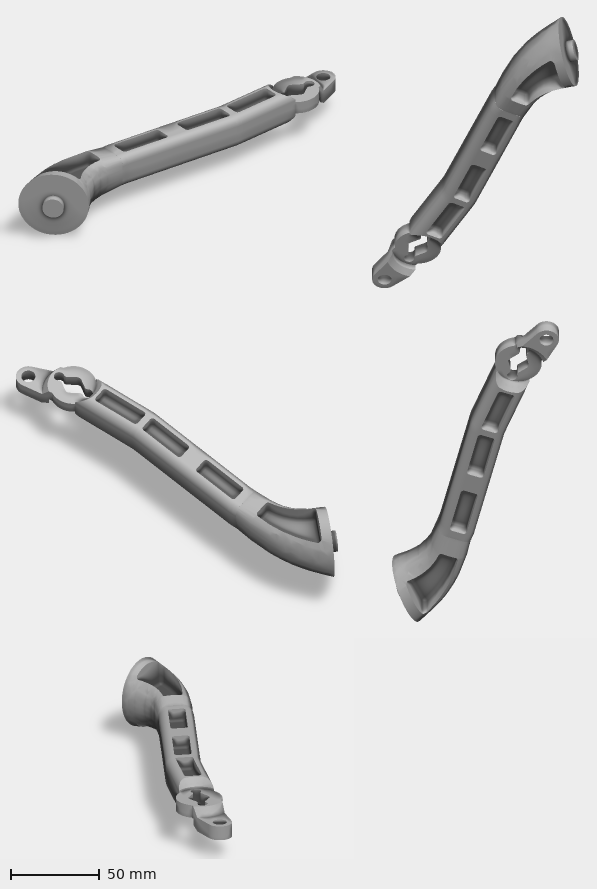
import cadquery as cq
import math


PART_LENGTH = 227.2
REACH = 68.2

ARM_SIZE = 20.0
ARM_CORNER = 5.0
ARM_START_Y = -8.5
ARM_TILT = 7.4
BEND_Y = -49.5
SECOND_BEND_Y = -125.2
BEND_RADIUS = 30.5
BEND_ZONE = 1.8
ARM_END_Y = -128.5

RING_RADIUS = 13.2
RING_THICKNESS = 7.5
BORE_HALF_WIDTH = 6.5
BORE_HALF_LENGTH = 10.0
BORE_FILLET = 2.7
SLOT_END_RADIUS = 3.0
SLOT_END_OFFSET = 10.0
SLOT_NECK_WIDTH = 4.3

SCOOP_RADIUS = RING_RADIUS
SCOOP_RIM_RADIUS = 16.5
SCOOP_STEP_Z = 5.2

TAB_CENTER = (-7.0, 26.4)
TAB_RADIUS = 7.0
TAB_HOLE_DIAMETER = 8.0
TAB_LEFT_FOOT = (-11.5, 6.5)
TAB_RIGHT_FOOT = (5.7, 13.6)
TAB_RING_CONTACT = (6.4, 11.4)
TAB_BOTTOM_Z = -ARM_SIZE / 2
TAB_TOP_Z = -1.7
STEP_INNER_RADIUS = 14.5
STEP_OUTER_RADIUS = 17.7
STEP_CONE_Z = -7.3

FACE_RADIUS = 20.0
FACE_REACH = FACE_RADIUS * math.sqrt(0.5)
FACE_CENTER = (0, TAB_CENTER[1] + TAB_RADIUS - PART_LENGTH + FACE_REACH)
FLARE_POINTS = 32
FLARE_SECTIONS = (
    ((-22.0, -142.0), (0.2, -140.9), 24.5, 3.0),
    ((-22.7, -158.0), (1.4, -147.2), 27.7, 2.6),
    ((-21.1, -172.7), (4.5, -154.3), 32.3, 2.2),
    ((-17.7, -185.0), (9.5, -160.5), 36.8, 2.0),
)
ARM_SQUARENESS = 4.4
ROUND = 2.0
PIN_DIAMETER = 12.0
PIN_LENGTH = 4.0

WEB_THICKNESS = 5.0
POCKET_WIDTH = ARM_SIZE - 2 * ARM_CORNER
POCKET_FILLET = 1.8
POCKET_SPANS = ((-18.2, -47.7), (-51.8, -81.3), (-93.5, -123.4))
FLARE_POCKET_TOP_LEFT = (-16.1, -140.0)
FLARE_POCKET_TOP_RIGHT = (-5.0, -140.0)
FLARE_POCKET_RIGHT_MID = (-2.5, -152.7)
FLARE_POCKET_LOWER_RIGHT = (6.4, -165.2)
FLARE_POCKET_LOWER_LEFT = (-11.8, -183.4)
FLARE_POCKET_LEFT_MID = (-17.3, -161.3)

half_arm = ARM_SIZE / 2
half_ring = RING_THICKNESS / 2
half_web = WEB_THICKNESS / 2
tilt_slope = math.tan(math.radians(ARM_TILT))


def axis_x(y):
    """X of the arm axis above the second bend, ignoring the rounding of the bends."""
    return min(0, y - BEND_Y) * tilt_slope


lower_axis_x = axis_x(SECOND_BEND_Y)


def make_arm():
    mitre_shift = half_arm * math.tan(math.radians(ARM_TILT / 2))

    def side(sign):
        return [
            (sign * half_arm, ARM_START_Y),
            (sign * half_arm, BEND_Y - sign * mitre_shift),
            (lower_axis_x + sign * half_arm, SECOND_BEND_Y - sign * mitre_shift),
            (lower_axis_x + sign * half_arm, ARM_END_Y),
        ]

    bar = (
        cq.Workplane("XY")
        .workplane(offset=-half_arm)
        .polyline(side(1) + side(-1)[::-1])
        .close()
        .extrude(ARM_SIZE)
    )
    for y in (BEND_Y, SECOND_BEND_Y):
        bend_zone = cq.selectors.BoxSelector(
            (-REACH, y - BEND_ZONE, -REACH), (REACH, y + BEND_ZONE, REACH)
        )
        bar = bar.edges("|Z").edges(bend_zone).fillet(BEND_RADIUS)
    return bar.faces("|Z").edges("not(<Y or >Y)").fillet(ARM_CORNER)


def revolve_profile(points):
    """Revolve (radius, z) points about the Z axis."""
    return cq.Workplane("XZ").polyline(points).close().revolve(360, (0, 0), (0, 1))


def scoop_top(radius, cone_z, rim_radius, rim_z):
    """Clearance above the ring: a cylinder up to cone_z, then a widening cone."""
    profile = [(0, half_ring), (radius, half_ring), (radius, cone_z), (rim_radius, rim_z), (0, rim_z)]
    return revolve_profile(profile)


def tangent_point(foot, sign):
    """Point where the line from foot touches the tab's round end."""
    dx = foot[0] - TAB_CENTER[0]
    dy = foot[1] - TAB_CENTER[1]
    angle = math.atan2(dy, dx) + sign * math.acos(TAB_RADIUS / math.hypot(dx, dy))
    return (
        TAB_CENTER[0] + TAB_RADIUS * math.cos(angle),
        TAB_CENTER[1] + TAB_RADIUS * math.sin(angle),
    )


def make_tab():
    """Tab joined to the ring by a conical step on its top and bottom."""
    tab = (
        cq.Workplane("XY")
        .workplane(offset=TAB_BOTTOM_Z)
        .moveTo(0, 0)
        .lineTo(*TAB_LEFT_FOOT)
        .lineTo(*tangent_point(TAB_LEFT_FOOT, -1))
        .threePointArc((TAB_CENTER[0], TAB_CENTER[1] + TAB_RADIUS), tangent_point(TAB_RIGHT_FOOT, 1))
        .lineTo(*TAB_RIGHT_FOOT)
        .lineTo(*TAB_RING_CONTACT)
        .close()
        .extrude(half_ring - TAB_BOTTOM_Z)
    )
    above = revolve_profile([
        (STEP_INNER_RADIUS, half_ring),
        (STEP_OUTER_RADIUS, TAB_TOP_Z),
        (REACH, TAB_TOP_Z),
        (REACH, half_ring),
    ])
    below = scoop_top(STEP_INNER_RADIUS, -STEP_CONE_Z, STEP_OUTER_RADIUS, -TAB_BOTTOM_Z).mirror("XY")
    hole = (
        cq.Workplane("XY")
        .center(*TAB_CENTER)
        .circle(TAB_HOLE_DIAMETER / 2)
        .extrude(REACH, both=True)
    )
    return tab.cut(above).cut(below).cut(hole)


def make_keyhole():
    plane = cq.Workplane("XY").workplane(offset=-RING_THICKNESS)
    depth = 2 * RING_THICKNESS
    diamond = [
        (BORE_HALF_WIDTH, 0),
        (0, BORE_HALF_LENGTH),
        (-BORE_HALF_WIDTH, 0),
        (0, -BORE_HALF_LENGTH),
    ]
    ends = [(0, -SLOT_END_OFFSET), (0, SLOT_END_OFFSET)]
    return (
        plane.polyline(diamond).close().extrude(depth).edges("|Z and (<X or >X)").fillet(BORE_FILLET)
        .union(plane.rect(SLOT_NECK_WIDTH, 2 * SLOT_END_OFFSET).extrude(depth))
        .union(plane.pushPoints(ends).circle(SLOT_END_RADIUS).extrude(depth))
    )


def flare_section(left, right, height, squareness):
    """Closed curve standing on the line from left to right.

    A squareness of 2 (ROUND) gives an ellipse, larger values approach a rectangle.
    """
    width = math.dist(left, right)
    plane = cq.Plane(
        origin=((left[0] + right[0]) / 2, (left[1] + right[1]) / 2, 0),
        xDir=(left[0] - right[0], left[1] - right[1], 0),
        normal=(right[1] - left[1], left[0] - right[0], 0),
    )

    def bulge(value, size):
        return math.copysign(abs(value) ** (2 / squareness), value) * size / 2

    points = []
    for step in range(FLARE_POINTS):
        angle = 2 * math.pi * step / FLARE_POINTS
        across = bulge(math.cos(angle), width)
        up = bulge(math.sin(angle), height)
        points.append(plane.toWorldCoords((across, up)))
    return cq.Wire.assembleEdges([cq.Edge.makeSpline(points, periodic=True)])


def make_flare():
    face_left = (FACE_CENTER[0] - FACE_REACH, FACE_CENTER[1] - FACE_REACH)
    face_right = (FACE_CENTER[0] + FACE_REACH, FACE_CENTER[1] + FACE_REACH)
    arm_left = (lower_axis_x - half_arm, ARM_END_Y)
    arm_right = (lower_axis_x + half_arm, ARM_END_Y)
    sections = [
        flare_section(arm_left, arm_right, ARM_SIZE, ARM_SQUARENESS),
        *(flare_section(*section) for section in FLARE_SECTIONS),
        flare_section(face_left, face_right, 2 * FACE_RADIUS, ROUND),
    ]
    return cq.Workplane(cq.Solid.makeLoft(sections))


def make_pin():
    face = cq.Plane(origin=(*FACE_CENTER, 0), xDir=(1, 1, 0), normal=(1, -1, 0))
    return cq.Workplane(face).circle(PIN_DIAMETER / 2).extrude(PIN_LENGTH)


def sink_pocket(outline):
    """Pocket cutter with rounded corners and floor edges, from a closed outline on the web."""
    return outline.extrude(FACE_RADIUS).edges("|Z or <Z").fillet(POCKET_FILLET)


def make_pockets():
    floor = cq.Workplane("XY").workplane(offset=half_web)
    half_width = POCKET_WIDTH / 2
    cutters = []
    for upper, lower in POCKET_SPANS:
        corners = [
            (axis_x(upper) - half_width, upper),
            (axis_x(upper) + half_width, upper),
            (axis_x(lower) + half_width, lower),
            (axis_x(lower) - half_width, lower),
        ]
        cutters.append(sink_pocket(floor.polyline(corners).close()))
    flare_outline = (
        floor.moveTo(*FLARE_POCKET_TOP_LEFT)
        .lineTo(*FLARE_POCKET_TOP_RIGHT)
        .threePointArc(FLARE_POCKET_RIGHT_MID, FLARE_POCKET_LOWER_RIGHT)
        .lineTo(*FLARE_POCKET_LOWER_LEFT)
        .threePointArc(FLARE_POCKET_LEFT_MID, FLARE_POCKET_TOP_LEFT)
        .close()
    )
    cutters.append(sink_pocket(flare_outline))
    return cutters


ring = cq.Workplane("XY").circle(RING_RADIUS).extrude(half_ring, both=True)
scoop = scoop_top(SCOOP_RADIUS, SCOOP_STEP_Z, SCOOP_RIM_RADIUS, half_arm)
arm = make_arm().cut(scoop).cut(scoop.mirror("XY"))

result = arm.union(make_flare()).union(make_pin())
for pocket in make_pockets():
    result = result.cut(pocket).cut(pocket.mirror("XY"))
result = result.union(ring).union(make_tab()).cut(make_keyhole())